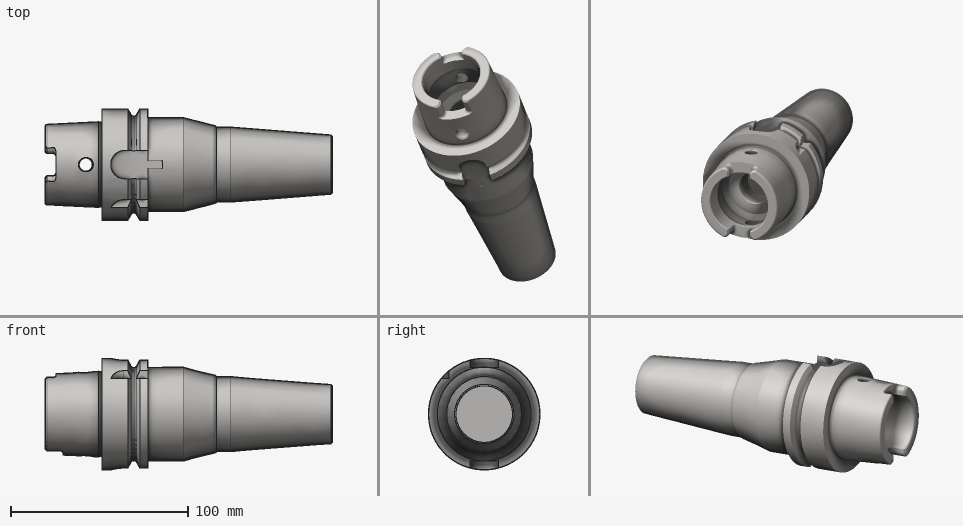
import cadquery as cq
import math


shank_end_x = -32.0
relief_start_x = -1.9
relief_neck_x = -1.2
flange_end_x = 26.0
body_end_x = 46.0
shoulder_x = 63.3
lip_end_x = 64.3
sleeve_start_x = 64.8
sleeve_end_x = 72.7
nose_end_x = 130.0

shank_end_r = 22.75
shank_rim_fillet = 1.0
shank_base_r = 24.2
relief_neck_r = 24.0
flange_r = 31.5
body_r = 26.5
shoulder_r = 22.1
lip_end_r = 21.6
sleeve_r = 21.2
nose_r = 16.75
nose_chamfer = 0.8

relief_outer_r = 25.7
relief_depth = 0.2
relief_fillet_r = 0.6

groove_x = 18.0
groove_half_width = 3.4
groove_root_r = 27.5
groove_fillet_r = 1.0
groove_half_angle = math.radians(30)

bore_r = 17.0
bore_mouth_chamfer = 0.5
bore_shoulder_x = -18.7
bore_shoulder_angle = math.radians(60)
bore_undercut_r = 18.5
bore_floor_r = 15.6
bore_floor_x = -2.0
coolant_hole_r = 9.0
coolant_hole_depth = 15.0
coolant_hole_chamfer = 0.5

slot_width = 12.3
slot_top_depth = 6.0
slot_bottom_depth = 10.0
slot_edge_r = 3.0
slot_rim_z = 20.8
slot_floor_fillet = 1.5
slot_mouth_chamfer = 1.0

cross_hole_x = -9.15
cross_hole_r = 3.7
cross_hole_chamfer = 0.6

keyway_r = 8.0
keyway_start_x = 5.0
keyway_end_x = 34.3
keyway_floor_z = 26.4
notch_floor_z = 20.0
notch_wall_y = -19.8
notch_start_x = 4.3
notch_r = keyway_r

overcut = 5.0


def revolve_profile(profile):
    """Close a half profile and revolve it about the X axis."""
    return profile.close().revolve(360, (0, 0, 0), (1, 0, 0))


def opposite(cutter):
    """Mirror a cutter from the +Z side to the -Z side."""
    return cutter.mirror("XY")


def make_outer_body():
    """Solid of revolution with every outer step, without the gripper groove."""
    profile = (
        cq.Workplane("XY")
        .moveTo(shank_end_x, 0)
        .lineTo(shank_end_x, shank_end_r - shank_rim_fillet)
        .tangentArcPoint((shank_end_x + shank_rim_fillet, shank_end_r), relative=False)
        .lineTo(relief_start_x, shank_base_r)
        .lineTo(relief_neck_x, relief_neck_r)
        .lineTo(relief_depth - relief_fillet_r, relief_neck_r)
        .tangentArcPoint((relief_depth, relief_neck_r + relief_fillet_r), relative=False)
        .lineTo(0, relief_outer_r)
        .lineTo(0, flange_r)
        .lineTo(flange_end_x, flange_r)
        .lineTo(flange_end_x, body_r)
        .lineTo(body_end_x, body_r)
        .lineTo(shoulder_x, shoulder_r)
        .tangentArcPoint((lip_end_x, lip_end_r), relative=False)
        .lineTo(sleeve_start_x, sleeve_r)
        .lineTo(sleeve_end_x, sleeve_r)
        .lineTo(nose_end_x - nose_chamfer, nose_r)
        .lineTo(nose_end_x, nose_r - nose_chamfer)
        .lineTo(nose_end_x, 0)
    )
    return revolve_profile(profile)


def make_gripper_groove():
    """Vee ring around the flange with filleted root corners."""
    fillet_rise = groove_fillet_r * (1 - math.sin(groove_half_angle))
    fillet_run = groove_fillet_r * math.cos(groove_half_angle)
    wall_run = (flange_r - groove_root_r - fillet_rise) * math.tan(groove_half_angle)
    root_half = groove_half_width - wall_run - fillet_run
    turn = math.pi / 2 - groove_half_angle
    mid_run = groove_fillet_r * math.sin(turn / 2)
    mid_rise = groove_fillet_r * (1 - math.cos(turn / 2))
    profile = (
        cq.Workplane("XY")
        .moveTo(groove_x - groove_half_width, flange_r + overcut)
        .lineTo(groove_x - groove_half_width, flange_r)
        .lineTo(groove_x - root_half - fillet_run, groove_root_r + fillet_rise)
        .threePointArc(
            (groove_x - root_half - mid_run, groove_root_r + mid_rise),
            (groove_x - root_half, groove_root_r),
        )
        .lineTo(groove_x + root_half, groove_root_r)
        .threePointArc(
            (groove_x + root_half + mid_run, groove_root_r + mid_rise),
            (groove_x + root_half + fillet_run, groove_root_r + fillet_rise),
        )
        .lineTo(groove_x + groove_half_width, flange_r)
        .lineTo(groove_x + groove_half_width, flange_r + overcut)
    )
    return revolve_profile(profile)


def make_bore():
    """Bore with a clamping shoulder, an undercut behind it and a conical corner at the floor."""
    shoulder_run = (bore_undercut_r - bore_r) / math.tan(bore_shoulder_angle)
    floor_cone_run = bore_undercut_r - bore_floor_r
    profile = (
        cq.Workplane("XY")
        .moveTo(shank_end_x, 0)
        .lineTo(shank_end_x, bore_r + bore_mouth_chamfer)
        .lineTo(shank_end_x + bore_mouth_chamfer, bore_r)
        .lineTo(bore_shoulder_x, bore_r)
        .lineTo(bore_shoulder_x + shoulder_run, bore_undercut_r)
        .lineTo(bore_floor_x - floor_cone_run, bore_undercut_r)
        .lineTo(bore_floor_x, bore_floor_r)
        .lineTo(bore_floor_x, coolant_hole_r + coolant_hole_chamfer)
        .lineTo(bore_floor_x + coolant_hole_chamfer, coolant_hole_r)
        .lineTo(bore_floor_x + coolant_hole_depth, coolant_hole_r)
        .lineTo(bore_floor_x + coolant_hole_depth, 0)
    )
    return revolve_profile(profile)


def slot_section(workplane, growth):
    """Slot outline in a YZ plane; its walls round out onto flats at the outside of the shank."""
    half = slot_width / 2 + growth
    arc_r = slot_edge_r - growth
    arc_y = half + arc_r
    arc_z = slot_rim_z - slot_edge_r
    mid_y = arc_y - arc_r * math.cos(math.pi / 4)
    mid_z = arc_z + arc_r * math.sin(math.pi / 4)
    rim_z = arc_z + arc_r
    limit = shank_base_r + overcut
    return (
        workplane.moveTo(-half, 0)
        .lineTo(-half, arc_z)
        .threePointArc((-mid_y, mid_z), (-arc_y, rim_z))
        .lineTo(-limit, rim_z)
        .lineTo(-limit, limit)
        .lineTo(limit, limit)
        .lineTo(limit, rim_z)
        .lineTo(arc_y, rim_z)
        .threePointArc((mid_y, mid_z), (half, arc_z))
        .lineTo(half, 0)
        .close()
    )


def make_drive_slot(depth):
    """Slot on the +Z side of the shank end, with a rounded floor and a chamfered mouth."""
    tolerance = 0.1
    floor_x = shank_end_x + depth
    cutter = slot_section(cq.Workplane("YZ", origin=(shank_end_x, 0, 0)), 0).extrude(depth)
    wall_edges = cq.selectors.BoxSelector(
        (floor_x - tolerance, -shank_end_r, tolerance),
        (floor_x + tolerance, shank_end_r, slot_rim_z + tolerance),
    )
    cutter = cutter.edges(wall_edges).fillet(slot_floor_fillet)
    mouth = slot_section(cq.Workplane("YZ", origin=(shank_end_x, 0, 0)), slot_mouth_chamfer)
    mouth = slot_section(mouth.workplane(offset=slot_mouth_chamfer), 0).loft(ruled=True)
    return cutter.union(mouth)


def make_cross_hole():
    """Hole along Z, countersunk where it meets the shank on both sides."""
    taper = (shank_base_r - shank_end_r) / (relief_start_x - shank_end_x)
    surface_z = shank_end_r + taper * (cross_hole_x - shank_end_x)
    rim_r = cross_hole_r + cross_hole_chamfer
    half_profile = (
        cq.Workplane("XZ")
        .moveTo(cross_hole_x, 0)
        .lineTo(cross_hole_x + cross_hole_r, 0)
        .lineTo(cross_hole_x + cross_hole_r, surface_z - cross_hole_chamfer)
        .lineTo(cross_hole_x + rim_r, surface_z)
        .lineTo(cross_hole_x + rim_r, surface_z + overcut)
        .lineTo(cross_hole_x, surface_z + overcut)
        .close()
    )
    upper = half_profile.revolve(360, (cross_hole_x, 0, 0), (cross_hole_x, 1, 0))
    return upper.union(opposite(upper))


def make_keyway():
    """Round-ended flat on the +Z side, running out over the body behind the flange."""
    length = keyway_end_x - keyway_start_x
    return (
        cq.Workplane("XY", origin=(keyway_start_x + length / 2, 0, keyway_floor_z))
        .slot2D(length, 2 * keyway_r)
        .extrude(flange_r)
    )


def make_orientation_notch():
    """Round-ended pocket that opens to the side of the flange and through its rear face."""
    center_x = notch_start_x + notch_r
    outer_y = notch_wall_y - 2 * notch_r
    return (
        cq.Workplane("XY", origin=(0, 0, notch_floor_z))
        .moveTo(flange_end_x, notch_wall_y)
        .lineTo(center_x, notch_wall_y)
        .threePointArc((notch_start_x, notch_wall_y - notch_r), (center_x, outer_y))
        .lineTo(flange_end_x, outer_y)
        .close()
        .extrude(flange_r)
    )


part = make_outer_body()
part = part.cut(make_gripper_groove())
part = part.cut(make_bore())
part = part.cut(make_drive_slot(slot_top_depth))
part = part.cut(opposite(make_drive_slot(slot_bottom_depth)))
part = part.cut(make_cross_hole())
part = part.cut(make_keyway())
part = part.cut(opposite(make_keyway()))
part = part.cut(make_orientation_notch())

result = part